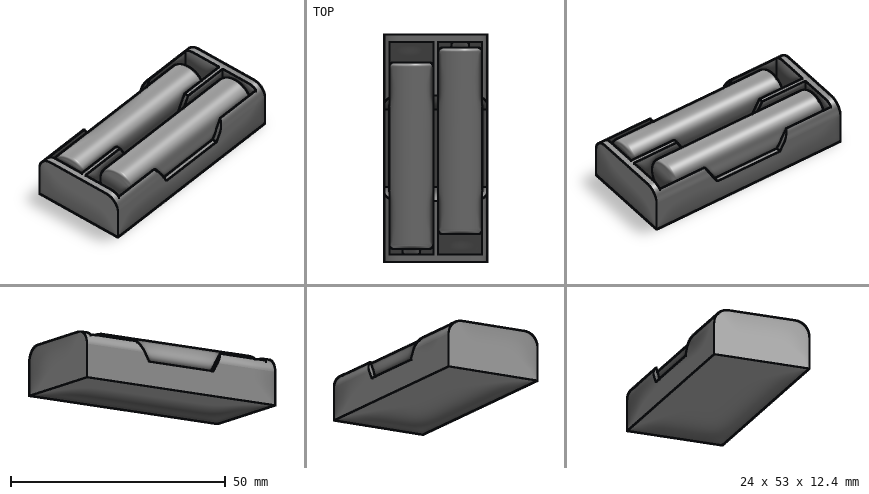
import cadquery as cq
import math

case_length = 53.0
case_width = 24.0
case_height = 11.55
case_edge_radius = 3.6

divider_thickness = 1.1
pocket_width = 10.2
end_wall = 1.8
pocket_length = case_length - 2 * end_wall
pocket_offset = (pocket_width + divider_thickness) / 2

notch_floor_height = 5.95
notch_floor_length = 18.0
notch_side_angle = 60.0

overall_height = 12.4
battery_radius = 5.15
battery_length = 43.4
battery_edge_radius = 1.0
terminal_radius = 2.0
terminal_length = 1.25
terminal_edge_radius = 0.3
terminal_root_radius = 0.3
battery_axis_height = overall_height - battery_radius
battery_offset = divider_thickness / 2 + battery_radius
pocket_floor = battery_axis_height - battery_radius


def make_battery(side):
    """Battery on one side of the divider: -1 points its terminal to -Y, +1 to +Y."""
    shoulder = battery_length
    tip = shoulder + terminal_length
    bend = 1 - math.sqrt(0.5)
    body_bend = bend * battery_edge_radius
    root_bend = bend * terminal_root_radius
    tip_bend = bend * terminal_edge_radius
    profile = (
        cq.Workplane("XY")
        .moveTo(0, 0)
        .lineTo(battery_radius - battery_edge_radius, 0)
        .threePointArc(
            (battery_radius - body_bend, body_bend),
            (battery_radius, battery_edge_radius),
        )
        .lineTo(battery_radius, shoulder - battery_edge_radius)
        .threePointArc(
            (battery_radius - body_bend, shoulder - body_bend),
            (battery_radius - battery_edge_radius, shoulder),
        )
        .lineTo(terminal_radius + terminal_root_radius, shoulder)
        .threePointArc(
            (terminal_radius + root_bend, shoulder + root_bend),
            (terminal_radius, shoulder + terminal_root_radius),
        )
        .lineTo(terminal_radius, tip - terminal_edge_radius)
        .threePointArc(
            (terminal_radius - tip_bend, tip - tip_bend),
            (terminal_radius - terminal_edge_radius, tip),
        )
        .lineTo(0, tip)
        .close()
    )
    battery = profile.revolve(360, (0, 0, 0), (0, 1, 0))
    battery = battery.translate((0, pocket_length / 2 - tip, 0))
    if side < 0:
        battery = battery.rotate((0, 0, 0), (0, 0, 1), 180)
    return battery.translate((side * battery_offset, 0, battery_axis_height))


def make_notch():
    """Trapezoidal prism that opens the middle of the long walls."""
    rise = case_height - notch_floor_height
    floor_half = notch_floor_length / 2
    top_half = floor_half + rise / math.tan(math.radians(notch_side_angle))
    return (
        cq.Workplane("YZ")
        .polyline([
            (-floor_half, notch_floor_height),
            (floor_half, notch_floor_height),
            (top_half, case_height),
            (-top_half, case_height),
        ])
        .close()
        .extrude(case_width / 2, both=True)
    )


def make_case(batteries):
    """Rounded tray with two compartments, relieved where the batteries enter its side walls."""
    case = (
        cq.Workplane("XY")
        .box(case_width, case_length, case_height, centered=(True, True, False))
        .edges("|Y and >Z")
        .fillet(case_edge_radius)
    )
    pockets = (
        cq.Workplane("XY")
        .workplane(offset=pocket_floor)
        .pushPoints([(-pocket_offset, 0), (pocket_offset, 0)])
        .rect(pocket_width, pocket_length)
        .extrude(case_height - pocket_floor)
    )
    case = case.cut(pockets).cut(make_notch())
    for battery in batteries:
        case = case.cut(battery)
    return case


batteries = [make_battery(side) for side in (-1, 1)]
case = make_case(batteries)

result = cq.Compound.makeCompound([*case.solids().vals(), *[battery.val() for battery in batteries]])